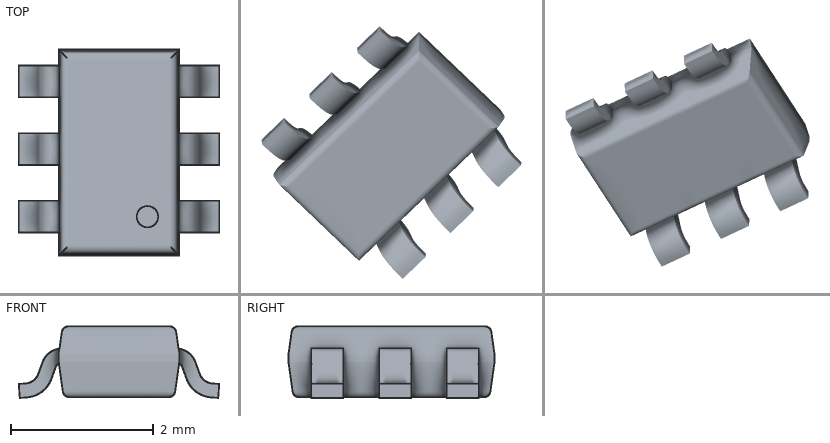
import cadquery as cq
import math

housing_width = 1.7
housing_length = 2.9
belt_height = 0.1
upper_height = 0.4
lower_height = 0.5
draft_angle = 8
rim_radius = 0.1

lead_span = 2.82
lead_width = 0.45
lead_thickness = 0.2
lead_pitch = 0.95
lead_row_shift = 0.05
leads_per_side = 3
foot_angle = 4
foot_length = 0.1
shank_angle = 70
lower_bend_radius = 0.2
upper_bend_radius = 0.1
lead_top = 0.7

marker_diameter = 0.3
marker_depth = 0.1
marker_x = 0.4
marker_y = -0.9

standoff = 0.01
belt_bottom = standoff + lower_height
belt_top = belt_bottom + belt_height
housing_top = belt_top + upper_height


def make_half(start_z, height):
    """Drafted half growing away from the belt; a negative height grows downward."""
    half = (
        cq.Workplane("XY", origin=(0, 0, start_z))
        .rect(housing_width, housing_length)
        .extrude(height, taper=draft_angle)
    )
    end_face = ">Z" if height > 0 else "<Z"
    return half.faces(end_face).edges().fillet(rim_radius)


def make_housing():
    """Housing without the recesses for the leads and the marker."""
    belt = (
        cq.Workplane("XY", origin=(0, 0, belt_bottom))
        .rect(housing_width, housing_length)
        .extrude(belt_height)
    )
    return belt.union(make_half(belt_top, upper_height)).union(make_half(belt_bottom, -lower_height))


def on_arc(center, radius, angle):
    """Point on an arc, with the angle in degrees from +X."""
    turn = math.radians(angle)
    return (center[0] + radius * math.cos(turn), center[1] + radius * math.sin(turn))


def make_lead(y):
    """Lead on the -X side: sloping foot, lower bend, straight shank and upper bend into the housing."""
    lower_outer_radius = lower_bend_radius + lead_thickness
    upper_outer_radius = upper_bend_radius + lead_thickness
    foot_start = foot_angle - 90
    shank_start = shank_angle - 90
    shank_end = shank_angle + 90
    lower_middle = (foot_start + shank_start) / 2
    upper_middle = (shank_end + 90) / 2

    slope = math.radians(foot_angle)
    tip_top = (-lead_span / 2, lead_thickness * math.cos(slope))
    tip_bottom = (tip_top[0] + lead_thickness * math.sin(slope), 0)
    foot_top = (tip_top[0] + foot_length * math.cos(slope), tip_top[1] + foot_length * math.sin(slope))

    lower_center = on_arc(foot_top, lower_bend_radius, foot_angle + 90)
    upper_center_z = lead_top - upper_outer_radius
    shank_top = on_arc(lower_center, lower_bend_radius, shank_start)
    shank_rise = upper_center_z - on_arc(shank_top, upper_outer_radius, shank_start)[1]
    shank_run = shank_rise / math.tan(math.radians(shank_angle))
    shank_end_top = (shank_top[0] + shank_run, shank_top[1] + shank_rise)
    upper_center = on_arc(shank_end_top, upper_outer_radius, shank_start)

    profile = (
        cq.Workplane("XZ", origin=(0, y, 0))
        .moveTo(*tip_bottom)
        .lineTo(*on_arc(lower_center, lower_outer_radius, foot_start))
        .threePointArc(
            on_arc(lower_center, lower_outer_radius, lower_middle),
            on_arc(lower_center, lower_outer_radius, shank_start),
        )
        .lineTo(*on_arc(upper_center, upper_bend_radius, shank_end))
        .threePointArc(
            on_arc(upper_center, upper_bend_radius, upper_middle),
            on_arc(upper_center, upper_bend_radius, 90),
        )
        .lineTo(*on_arc(upper_center, upper_outer_radius, 90))
        .threePointArc(
            on_arc(upper_center, upper_outer_radius, upper_middle),
            shank_end_top,
        )
        .lineTo(*shank_top)
        .threePointArc(
            on_arc(lower_center, lower_bend_radius, lower_middle),
            foot_top,
        )
        .lineTo(*tip_top)
        .close()
    )
    return profile.extrude(lead_width / 2, both=True)


def make_leads():
    """Rows of leads along both long sides, evenly spaced about the shifted row middle."""
    leads = []
    for i in range(leads_per_side):
        y = lead_row_shift + (i - (leads_per_side - 1) / 2) * lead_pitch
        lead = make_lead(y)
        leads.append(lead)
        leads.append(lead.mirror("YZ"))
    return leads


def make_marker():
    """Round marker disc, flush with the housing top."""
    return (
        cq.Workplane("XY", origin=(marker_x, marker_y, housing_top))
        .circle(marker_diameter / 2)
        .extrude(-marker_depth)
    )


leads = make_leads()
marker = make_marker()
housing = make_housing().cut(marker)
for lead in leads:
    housing = housing.cut(lead)

lead_solids = [lead.solids().val() for lead in leads]
result = cq.Compound.makeCompound([housing.solids().val(), marker.val(), *lead_solids])